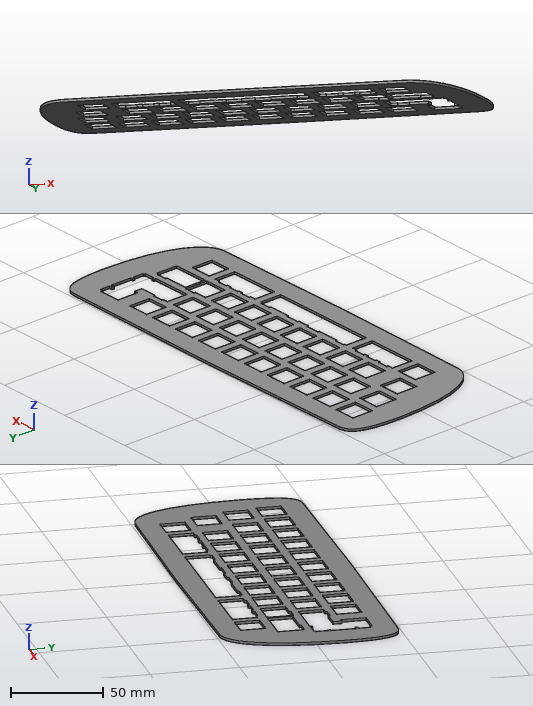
import cadquery as cq

plate_width = 245.7
plate_depth = 98.8
plate_thickness = 1.5

block_width = 219.1
block_pitches = 11.5
pitch = block_width / block_pitches
key_size = 14.0

stab_width = 6.6
stab_height = 14.7
stab_rise = 1.0
stab_spacing = 23.8
stab_shift = key_size / 2 + stab_rise - stab_height / 2
half_spacing = stab_spacing / 2
pair_offset = half_spacing / pitch

row_1, row_2, row_3, row_4 = 1.5, 0.5, -0.5, -1.5

edge_rise = 1.0
back_corner_x = 107.5
front_corner_x = 96.5
widest_y = 16.5
back_pull = 7.0
front_pull = 15.7
side_back_pull = 32.0
side_front_pull = 39.5


def make_plate():
    """Flat plate, drawn as its right half and mirrored to the left."""
    side_x = plate_width / 2
    peak_y = plate_depth / 2
    corner_y = peak_y - edge_rise
    back_slope = edge_rise / back_corner_x
    front_slope = edge_rise / front_corner_x

    back_curve = [
        (back_corner_x, corner_y),
        (back_corner_x + back_pull, corner_y - back_pull * back_slope),
        (side_x, widest_y + side_back_pull),
        (side_x, widest_y),
    ]
    front_curve = [
        (side_x, widest_y),
        (side_x, widest_y - side_front_pull),
        (front_corner_x + front_pull, -corner_y + front_pull * front_slope),
        (front_corner_x, -corner_y),
    ]
    return (
        cq.Workplane("XY")
        .moveTo(0, peak_y)
        .lineTo(back_corner_x, corner_y)
        .bezier(back_curve)
        .bezier(front_curve)
        .lineTo(0, -peak_y)
        .mirrorY()
        .extrude(plate_thickness)
    )


def cutter(x, y, size_x, size_y):
    """Block through the full plate thickness, centred on x, y."""
    return cq.Workplane("XY").center(x, y).rect(size_x, size_y).extrude(plate_thickness)


def key_opening(first, last, row):
    """Opening from the key at column `first` to the key at column `last`."""
    middle = (first + last) / 2 * pitch
    length = (last - first) * pitch + key_size
    return cutter(middle, row * pitch, length, key_size)


def stab_opening(column, row):
    """Stabilizer slot standing out on the back side of its row."""
    return cutter(column * pitch, row * pitch + stab_shift, stab_width, stab_height)


def single_keys(first, count, row):
    return [key_opening(first + i, first + i, row) for i in range(count)]


def stab_pair(column, row):
    """Both stabilizer slots of a wide key centred on `column`."""
    return [stab_opening(column + side * pair_offset, row) for side in (-1, 1)]


def plain_openings():
    """Square openings that hold one switch each."""
    return (
        single_keys(-5.25, 10, row_1)
        + single_keys(-5.125, 1, row_2)
        + single_keys(-4, 8, row_2)
        + single_keys(-4.875, 1, row_3)
        + single_keys(-3.5, 7, row_3)
        + single_keys(-4.5, 1, row_4)
        + single_keys(4.5, 1, row_4)
    )


def enter_openings():
    """Tall enter key overlapping the alternative keys of rows 1 and 2."""
    column = 5.125
    row = (row_1 + row_2) / 2
    openings = [
        key_opening(5, 5, row_1),
        key_opening(4, 4.625, row_2),
        key_opening(column, column, row),
    ]
    openings += stab_pair(4.625, row_2)
    for side in (-1, 1):
        slot_y = row * pitch + side * half_spacing
        openings.append(cutter(column * pitch - stab_shift, slot_y, stab_height, stab_width))
    openings.append(cutter(5 * pitch, row * pitch, stab_width, stab_spacing))
    return openings


def shift_openings():
    """Right end of row 3: one wide key overlapping two smaller ones."""
    openings = [key_opening(3.5, 3.5, row_3), key_opening(4.375, 4.875, row_3)]
    return openings + stab_pair(4.375, row_3)


def space_openings():
    """Three long openings of row 4 for the different space bars."""
    openings = [
        key_opening(-3.5, -2.5, row_4),
        key_opening(-1.5, 1.5, row_4),
        key_opening(2.5, 3.5, row_4),
    ]
    for side in (-1, 1):
        openings += stab_pair(side, row_4)
        for column in (0.5, 2.5, 3, 3.5):
            openings.append(stab_opening(side * column, row_4))
    return openings


result = make_plate()
for opening in plain_openings() + enter_openings() + shift_openings() + space_openings():
    result = result.cut(opening)